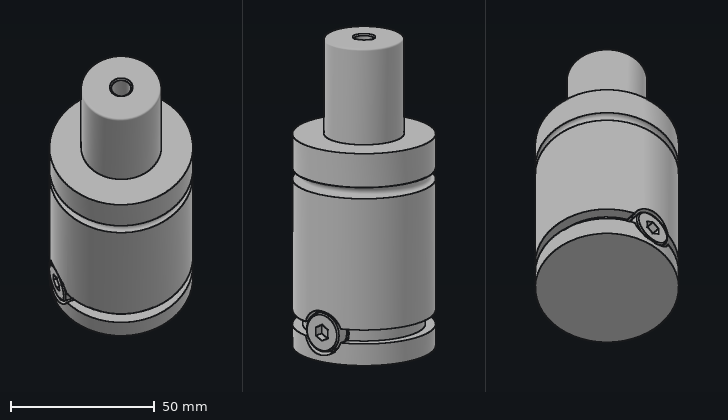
import cadquery as cq
import math

total_height = 112.0
body_diameter = 50.0
body_height = 77.0
rod_diameter = 28.0
rod_edge_round = 1.0

round_groove_radius = 2.0
round_groove_height = 62.6
square_groove_bottom = 8.0
square_groove_width = 5.0
square_groove_floor_diameter = 42.8

hole_diameter = 6.8
hole_mouth_diameter = 8.0
hole_depth = 13.4
drill_tip_angle = 118.0

seat_diameter = 16.0
seat_floor_distance = 19.5
plug_diameter = 14.0
plug_face_distance = 24.5
plug_chamfer = 0.6
hex_across_flats = 5.2
hex_depth = 3.4

body_radius = body_diameter / 2
plug_height = square_groove_bottom + square_groove_width / 2


def make_body():
    body = cq.Workplane("XY").circle(body_radius).extrude(body_height)
    rod = cq.Workplane("XY").circle(rod_diameter / 2).extrude(total_height)
    return body.union(rod.faces(">Z").edges().fillet(rod_edge_round))


def make_round_groove():
    return cq.Workplane("XY").add(
        cq.Solid.makeTorus(body_radius, round_groove_radius, cq.Vector(0, 0, round_groove_height))
    )


def make_square_groove():
    return (
        cq.Workplane("XY", origin=(0, 0, square_groove_bottom))
        .circle(body_diameter)
        .circle(square_groove_floor_diameter / 2)
        .extrude(square_groove_width)
    )


def make_rod_hole():
    radius = hole_diameter / 2
    mouth_radius = hole_mouth_diameter / 2
    mouth_depth = mouth_radius - radius
    tip_length = radius / math.tan(math.radians(drill_tip_angle / 2))
    floor_height = total_height - hole_depth
    profile = [
        (0, total_height),
        (mouth_radius, total_height),
        (radius, total_height - mouth_depth),
        (radius, floor_height),
        (0, floor_height - tip_length),
    ]
    return cq.Workplane("XZ").polyline(profile).close().revolve(360, (0, 0), (0, 1))


def plug_plane(distance):
    """Plane facing -Y, on the plug axis at a distance from the part axis."""
    return cq.Workplane("XZ", origin=(0, -distance, plug_height))


def make_plug():
    plug = plug_plane(0).circle(plug_diameter / 2).extrude(plug_face_distance)
    return plug.faces("<Y").edges().chamfer(plug_chamfer)


def make_plug_seat():
    return plug_plane(seat_floor_distance).circle(seat_diameter / 2).extrude(body_radius)


def make_hex_socket():
    corner_diameter = hex_across_flats / math.cos(math.radians(30))
    socket = plug_plane(plug_face_distance).polygon(6, corner_diameter).extrude(-hex_depth)
    axis_start = (0, 0, plug_height)
    axis_end = (0, 1, plug_height)
    return socket.rotate(axis_start, axis_end, 30)


result = (
    make_body()
    .cut(make_round_groove())
    .cut(make_square_groove())
    .cut(make_plug_seat())
    .union(make_plug())
    .cut(make_rod_hole())
    .cut(make_hex_socket())
)